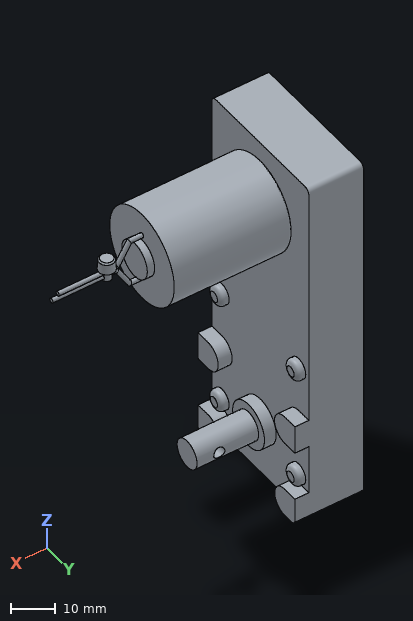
import cadquery as cq

BOX_DEPTH = 15.0
BOX_WIDTH = 38.1
BOX_HEIGHT = 100.0
BOX_EDGE_RADIUS = 1.5
MID_Y = BOX_WIDTH / 2

PAD_RADIUS = 4.0
PAD_FACE_X = 18.8
PAD_CENTRES_Z = (PAD_RADIUS, 26.0)

SCREW_HEAD_DIAMETER = 5.6
SCREW_HEAD_HEIGHT = 2.2
SCREW_RIM_RISE = 1.0
SCREW_CROWN_HEIGHT = 0.3
SCREW_CROWN_DIAMETER = 4.2
SCREW_TIP_DIAMETER = 2.8
SCREW_INSET_Y = 4.0
SCREW_CENTRES_Z = (11.0, 43.0)

SHAFT_Z = 15.9
SHAFT_DIAMETER = 7.9
SHAFT_END_X = 35.0
COLLAR_DIAMETER = 12.5
COLLAR_FACE_X = 18.2
CROSS_HOLE_DIAMETER = 3.0
CROSS_HOLE_X = 28.9

MOTOR_Z = 82.5
MOTOR_DIAMETER = 25.4
MOTOR_END_X = 47.3
MOTOR_FRONT_ROUND = 0.9
HUB_DIAMETER = 10.0
HUB_END_X = 49.3

LEAD_DIAMETER = 1.3
LEAD_EXIT_OFFSET = 6.4
LEAD_PAIR_OFFSET = 0.6
LEAD_EMBEDMENT = 1.0
LEAD_ROOT_X = MOTOR_END_X - LEAD_EMBEDMENT
LEAD_BEND_X = 50.7
LEAD_MERGE_X = 54.2
UPPER_LEAD_END_X = 70.3
LOWER_LEAD_END_X = 72.0

CLIP_X = 56.9
CLIP_BOTTOM_Z = 80.9
CLIP_SHANK_DIAMETER = 2.5
CLIP_HEAD_BOTTOM_Z = 83.8
CLIP_HEAD_BASE_DIAMETER = 4.4
CLIP_HEAD_TOP_DIAMETER = 4.1
CLIP_TOP_Z = 87.0
CLIP_HEAD_CHAMFER = 0.4


def rod_along_x(diameter, start_x, end_x, y, z):
    """Round bar parallel to X."""
    return (
        cq.Workplane("YZ", origin=(start_x, y, z))
        .circle(diameter / 2)
        .extrude(end_x - start_x)
    )


def make_mounting_pad(side_y, inward, centre_z):
    """Pad from the side wall at side_y, ending in a half round; inward is +1 or -1 along Y."""
    nose_y = side_y + inward * PAD_RADIUS
    return (
        cq.Workplane("YZ")
        .moveTo(side_y, centre_z - PAD_RADIUS)
        .lineTo(nose_y, centre_z - PAD_RADIUS)
        .threePointArc((nose_y + inward * PAD_RADIUS, centre_z), (nose_y, centre_z + PAD_RADIUS))
        .lineTo(side_y, centre_z + PAD_RADIUS)
        .close()
        .extrude(PAD_FACE_X)
    )


def make_box():
    """Box with its mounting pads; the four long corners along X are rounded through both."""
    box = cq.Workplane("XY").box(BOX_DEPTH, BOX_WIDTH, BOX_HEIGHT, centered=False)
    for centre_z in PAD_CENTRES_Z:
        box = box.union(make_mounting_pad(0, 1, centre_z))
        box = box.union(make_mounting_pad(BOX_WIDTH, -1, centre_z))
    rounded_envelope = (
        cq.Workplane("XY")
        .box(PAD_FACE_X, BOX_WIDTH, BOX_HEIGHT, centered=False)
        .edges("|X")
        .fillet(BOX_EDGE_RADIUS)
    )
    return box.intersect(rounded_envelope)


def make_screw_head(y, z):
    """Cover screw head: straight side, rounded rim and a low conical crown with a flat tip."""
    rim_radius = SCREW_HEAD_DIAMETER / 2
    crown_base_height = SCREW_HEAD_HEIGHT - SCREW_CROWN_HEIGHT
    side_height = crown_base_height - SCREW_RIM_RISE
    return (
        cq.Workplane("XY", origin=(BOX_DEPTH, y, z))
        .lineTo(0, rim_radius)
        .lineTo(side_height, rim_radius)
        .tangentArcPoint((crown_base_height, SCREW_CROWN_DIAMETER / 2), relative=False)
        .lineTo(SCREW_HEAD_HEIGHT, SCREW_TIP_DIAMETER / 2)
        .lineTo(SCREW_HEAD_HEIGHT, 0)
        .close()
        .revolve(360, (0, 0, 0), (1, 0, 0))
    )


def make_output_shaft():
    """Collar and shaft, with the hole crossing the shaft along Y."""
    collar = rod_along_x(COLLAR_DIAMETER, BOX_DEPTH, COLLAR_FACE_X, MID_Y, SHAFT_Z)
    shaft = rod_along_x(SHAFT_DIAMETER, BOX_DEPTH, SHAFT_END_X, MID_Y, SHAFT_Z)
    cross_hole = (
        cq.Workplane("XZ", origin=(CROSS_HOLE_X, MID_Y, SHAFT_Z))
        .circle(CROSS_HOLE_DIAMETER / 2)
        .extrude(SHAFT_DIAMETER, both=True)
    )
    return collar.union(shaft).cut(cross_hole)


def make_motor():
    """Motor can with a rounded front rim, and the hub on its rear end."""
    can = rod_along_x(MOTOR_DIAMETER, BOX_DEPTH, MOTOR_END_X, MID_Y, MOTOR_Z)
    can = can.faces("<X").edges().fillet(MOTOR_FRONT_ROUND)
    hub = rod_along_x(HUB_DIAMETER, MOTOR_END_X, HUB_END_X, MID_Y, MOTOR_Z)
    return can.union(hub)


def make_lead(side, end_x):
    """One lead; side is +1 for the upper lead and -1 for the lower."""
    exit_z = MOTOR_Z + side * LEAD_EXIT_OFFSET
    pair_z = MOTOR_Z + side * LEAD_PAIR_OFFSET
    path = cq.Workplane("XZ", origin=(0, MID_Y, 0)).polyline([
        (LEAD_ROOT_X, exit_z),
        (LEAD_BEND_X, exit_z),
        (LEAD_MERGE_X, pair_z),
        (end_x, pair_z),
    ])
    return (
        cq.Workplane("YZ", origin=(LEAD_ROOT_X, MID_Y, exit_z))
        .circle(LEAD_DIAMETER / 2)
        .sweep(path, transition="right")
    )


def make_leads():
    """Both leads, joined where they lie against each other."""
    return make_lead(1, UPPER_LEAD_END_X).union(make_lead(-1, LOWER_LEAD_END_X))


def make_gearmotor(leads):
    """Box, screw heads, output shaft, motor and leads as one solid."""
    body = make_box()
    for z in SCREW_CENTRES_Z:
        for y in (SCREW_INSET_Y, BOX_WIDTH - SCREW_INSET_Y):
            body = body.union(make_screw_head(y, z))
    return body.union(make_output_shaft()).union(make_motor()).union(leads)


def make_lead_clip(leads):
    """Pin with a tapered, chamfered head and the passage for the leads cut through its shank."""
    profile = [
        (0, CLIP_BOTTOM_Z),
        (CLIP_SHANK_DIAMETER / 2, CLIP_BOTTOM_Z),
        (CLIP_SHANK_DIAMETER / 2, CLIP_HEAD_BOTTOM_Z),
        (CLIP_HEAD_BASE_DIAMETER / 2, CLIP_HEAD_BOTTOM_Z),
        (CLIP_HEAD_TOP_DIAMETER / 2, CLIP_TOP_Z - CLIP_HEAD_CHAMFER),
        (CLIP_HEAD_TOP_DIAMETER / 2 - CLIP_HEAD_CHAMFER, CLIP_TOP_Z),
        (0, CLIP_TOP_Z),
    ]
    pin = (
        cq.Workplane("XZ", origin=(CLIP_X, MID_Y, 0))
        .polyline(profile)
        .close()
        .revolve(360, (0, 0, 0), (0, 1, 0))
    )
    return pin.cut(leads)


motor_leads = make_leads()
gearmotor = make_gearmotor(motor_leads)
lead_clip = make_lead_clip(motor_leads)

result = cq.Compound.makeCompound([gearmotor.solids().val(), lead_clip.solids().val()])